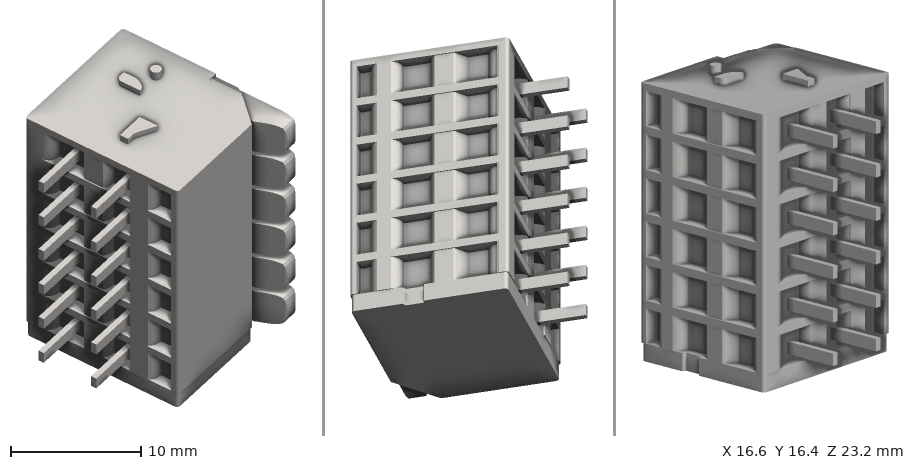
import cadquery as cq
import math


body_width = 14.575
body_depth = 12.75
body_top = 22.46
base_height = 1.47
base_inset = 0.1
corner_radius = 0.3
corner_cut_x = 3.52
corner_cut_y = 3.12

row_count = 6
row_pitch = 3.507
pocket_height = 2.84
first_row_bottom = base_height

recess = base_inset
wall_depth = 1.03
ledge_width = 0.17
narrow_ledge_width = 0.09
ledge_drop = 0.05
steep_ledge_drop = 0.07
mouth = 0.5

front_first_start = 1.5
front_pillar_start = 5.56
front_pillar_end = 7.35
front_second_end = 10.0
front_third_start = 11.7
front_third_end = 13.92
pillar_wall_run = 0.38
frame_wall_run = 0.43

side_first_start = 0.58
side_first_end = 2.2
side_second_start = 3.33
side_pillar_start = 6.8
side_pillar_end = 8.32
side_third_end = 11.97
side_wall_run = 0.7
ridge_wall_run = 0.51
slope_shoulder = 8.56
slope_shoulder_depth = 0.33
slope_shoulder_bulge = 0.02
slope_foot = 9.2
step_edge = 11.79
step_foot = 10.84
step_lip_depth = 0.065
step_depth = 0.45

pins_per_row = 2
pin_width = 0.5
pin_height = 1.0
pin_length = 3.6
pin_embedding = 0.5
pin_root = wall_depth + pin_embedding
pin_pitch = 5.0
first_pin_x = 4.17
first_pin_z = 2.55

lever_reach = 16.58
lever_height = 3.1
lever_overhang = 0.17
lever_bottom = base_height - lever_overhang
lever_root_length = 1.0
lever_root_x = body_width - corner_cut_x - lever_root_length
lever_thickness = 2.3
lever_heel_x = 14.15
lever_tip_thickness = 1.35
lever_tip_chamfer = 0.15
lever_shoulder_x = 15.15
lever_corner_x = 16.29
lever_shoulder_drop = 0.24
lever_nose_drop = 0.5
lever_nose_x = 16.44

notch_start_x = 8.9
notch_profile = [(0, 0.35), (0.23, 0.28), (0.42, 0.23), (0.64, 0.07), (0.95, 0.05)]

post_diameter = 0.9
post_height = 0.79
post_x = 5.38
post_y = 9.75
tongue_height = 0.58
hook_left = 3.47
hook_right = 5.7
hook_bottom = 7.2
hook_top = 8.18
hook_tip_height = 0.3
hook_arc_start = 4.55
hook_corner = 0.45
hook_bulge_x = 0.05
hook_bulge_y = 0.12
wedge_left = 7.48
wedge_right = 9.22
wedge_neck = 8.25
wedge_top = 4.73
wedge_bottom = 2.15
wedge_neck_y = 2.95

groove_start = 4.25
groove_end = 5.97
groove_depth = 0.3
groove_flare = 0.15


def front_face(u, depth):
    """u runs along +X from the -X corner, depth runs inward from the -Y face."""
    return (u, depth)


def side_face(u, depth):
    """u runs along -Y from the +Y corner, depth runs inward from the -X face."""
    return (depth, body_depth - u)


def convex_arc_middle(edge, foot):
    """Middle of the arc from edge to foot that bulges into the pocket and ends square to the face."""
    run = foot[0] - edge[0]
    drop = foot[1] - edge[1]
    radius = (run ** 2 + drop ** 2) / (2 * abs(run))
    center_u = foot[0] - math.copysign(radius, run)
    half_angle = math.asin(drop / radius) / 2
    return (
        center_u + math.copysign(radius * math.cos(half_angle), run),
        foot[1] - radius * math.sin(half_angle),
    )



def ledge(foot, inward, drop, width=ledge_width):
    """Short gentle slope between the foot of a wall and the pocket floor."""
    return (foot, None, (foot[0] + inward * width, foot[1] + drop))


def rounded_wall(edge_u, foot_u, edge_depth=0.0, foot_ledge_width=ledge_width):
    edge = (edge_u, edge_depth)
    foot = (foot_u, wall_depth)
    inward = math.copysign(1, foot_u - edge_u)
    return [
        (edge, convex_arc_middle(edge, foot), foot),
        ledge(foot, inward, ledge_drop, foot_ledge_width),
    ]


def straight_wall(edge_u, inward):
    foot = (edge_u, wall_depth)
    return [
        ((edge_u, 0), None, foot),
        ledge(foot, inward, steep_ledge_drop),
    ]


def sloped_wall(edge_u, shoulder_u, foot_u):
    """Wall with a small rounded shoulder above a flat slope."""
    edge = (edge_u, recess)
    shoulder = (shoulder_u, slope_shoulder_depth)
    middle = (
        (edge_u + shoulder_u) / 2 + slope_shoulder_bulge,
        (recess + slope_shoulder_depth) / 2 - slope_shoulder_bulge,
    )
    return [
        (edge, middle, shoulder),
        (shoulder, None, (foot_u, wall_depth + ledge_drop)),
    ]


def stepped_wall(edge_u, step_u, foot_u):
    """Bevelled lip, upright step, then an arc that starts level and steepens down to the floor."""
    lip = (step_u, step_lip_depth)
    step = (step_u, step_depth)
    foot = (foot_u, wall_depth + ledge_drop)
    run = foot[0] - step[0]
    drop = foot[1] - step[1]
    radius = (run ** 2 + drop ** 2) / (2 * drop)
    half_angle = math.asin(abs(run) / radius) / 2
    middle = (
        step[0] + math.copysign(radius * math.sin(half_angle), run),
        step[1] + radius * (1 - math.cos(half_angle)),
    )
    return [
        ((edge_u, 0), None, lip),
        (lip, None, step),
        (step, middle, foot),
    ]


def pocket(place, start_wall, end_wall):
    """Cutter for one pocket, from z = 0 up."""
    climb = [(end, middle, start) for start, middle, end in reversed(end_wall)]
    first = start_wall[0][0]
    last = climb[-1][2]
    outline = cq.Workplane("XY").moveTo(*place(first[0], -mouth)).lineTo(*place(*first))
    for start, middle, end in start_wall + [(start_wall[-1][2], None, climb[0][0])] + climb:
        if middle is None:
            outline = outline.lineTo(*place(*end))
        else:
            outline = outline.threePointArc(place(*middle), place(*end))
    return outline.lineTo(*place(last[0], -mouth)).close().extrude(pocket_height)


def pillar_recess(place, start_u, end_u):
    corners = [(start_u, -mouth), (start_u, recess), (end_u, recess), (end_u, -mouth)]
    return cq.Workplane("XY").polyline([place(*c) for c in corners]).close().extrude(pocket_height)


def front_row():
    """Cutters for one row of the -Y face."""
    return [
        pocket(
            front_face,
            rounded_wall(front_first_start, front_first_start + wall_depth),
            rounded_wall(front_pillar_start, front_pillar_start - pillar_wall_run, recess),
        ),
        pocket(
            front_face,
            rounded_wall(front_pillar_end, front_pillar_end + pillar_wall_run, recess),
            rounded_wall(front_second_end, front_second_end - frame_wall_run, recess, narrow_ledge_width),
        ),
        pocket(
            front_face,
            rounded_wall(front_third_start, front_third_start + frame_wall_run, recess, narrow_ledge_width),
            straight_wall(front_third_end, -1),
        ),
        pillar_recess(front_face, front_pillar_start, front_pillar_end),
    ]


def side_row():
    """Cutters for one row of the -X face."""
    return [
        pocket(
            side_face,
            straight_wall(side_first_start, 1),
            rounded_wall(side_first_end, side_first_end - side_wall_run),
        ),
        pocket(
            side_face,
            rounded_wall(side_second_start, side_second_start + side_wall_run),
            rounded_wall(side_pillar_start, side_pillar_start - ridge_wall_run, recess, narrow_ledge_width),
        ),
        pocket(
            side_face,
            sloped_wall(side_pillar_end, slope_shoulder, slope_foot),
            stepped_wall(side_third_end, step_edge, step_foot),
        ),
        pillar_recess(side_face, side_pillar_start, side_pillar_end),
    ]


def block(inset, bottom, top):
    """Housing prism with the +X +Y corner cut off and the other corners rounded."""
    right = body_width - inset
    rear = body_depth - inset
    return (
        cq.Workplane("XY", origin=(0, 0, bottom))
        .moveTo(inset, inset)
        .lineTo(right, inset)
        .lineTo(right, body_depth - corner_cut_y)
        .lineTo(body_width - corner_cut_x, rear)
        .lineTo(inset, rear)
        .close()
        .extrude(top - bottom)
        .edges("|Z and (<X or <Y)")
        .fillet(corner_radius)
    )


def base_groove():
    wall_ends = [
        (groove_start, 0),
        (groove_start + groove_flare, groove_depth),
        (groove_end - groove_flare, groove_depth),
        (groove_end, 0),
    ]
    corners = [side_face(u, base_inset + depth) for u, depth in wall_ends]
    mouth_corners = [side_face(groove_end, -mouth), side_face(groove_start, -mouth)]
    return cq.Workplane("XY").polyline(corners + mouth_corners).close().extrude(base_height)


def latch_notch():
    points = [(body_depth - back, body_top - drop) for back, drop in notch_profile]
    inner_y = points[-1][0]
    rear_y = body_depth + mouth
    outline = [(rear_y, points[0][1])] + points + [(inner_y, body_top + mouth), (rear_y, body_top + mouth)]
    return (
        cq.Workplane("YZ", origin=(notch_start_x, 0, 0))
        .polyline(outline)
        .close()
        .extrude(body_width - notch_start_x)
    )


def lever():
    """One lever at z = 0: its plan outline intersected with its rounded side outline."""
    front_y = body_depth - lever_thickness
    tip_y = body_depth - lever_tip_thickness
    plan = (
        cq.Workplane("XY")
        .polyline([
            (lever_root_x, body_depth),
            (lever_reach - lever_tip_chamfer, body_depth),
            (lever_reach, body_depth - lever_tip_chamfer),
            (lever_reach, tip_y + lever_tip_chamfer),
            (lever_reach - lever_tip_chamfer, tip_y),
            (lever_heel_x, front_y),
            (body_width - corner_cut_x, front_y),
            (lever_root_x, body_depth - lever_root_length),
        ])
        .close()
        .extrude(lever_height)
    )
    middle_z = lever_height / 2
    shoulder_mid_x = (lever_shoulder_x + lever_corner_x) / 2
    shoulder_mid_drop = lever_shoulder_drop / 4
    profile = (
        cq.Workplane("XZ")
        .moveTo(lever_root_x, 0)
        .lineTo(lever_shoulder_x, 0)
        .threePointArc((shoulder_mid_x, shoulder_mid_drop), (lever_corner_x, lever_shoulder_drop))
        .lineTo(lever_nose_x, lever_nose_drop)
        .threePointArc((lever_reach, middle_z), (lever_nose_x, lever_height - lever_nose_drop))
        .lineTo(lever_corner_x, lever_height - lever_shoulder_drop)
        .threePointArc(
            (shoulder_mid_x, lever_height - shoulder_mid_drop),
            (lever_shoulder_x, lever_height),
        )
        .lineTo(lever_root_x, lever_height)
        .close()
        .extrude(-body_depth)
    )
    return plan.intersect(profile)


def pin(x):
    return (
        cq.Workplane("XZ", origin=(x, -pin_length, first_pin_z))
        .rect(pin_width, pin_height)
        .extrude(-(pin_length + pin_root))
    )


def coupling_post():
    return cq.Workplane("XY", origin=(post_x, post_y, body_top)).circle(post_diameter / 2).extrude(post_height)


def coupling_hook():
    tip_y = hook_bottom + hook_tip_height
    corner_edge_middle = (hook_left, hook_bottom, body_top + tongue_height / 2)
    bulge = ((hook_arc_start + hook_right) / 2 + hook_bulge_x, (hook_top + tip_y) / 2 + hook_bulge_y)
    return (
        cq.Workplane("XY", origin=(0, 0, body_top))
        .moveTo(hook_left, hook_bottom)
        .lineTo(hook_right, hook_bottom)
        .lineTo(hook_right, tip_y)
        .threePointArc(bulge, (hook_arc_start, hook_top))
        .lineTo(hook_left, hook_top)
        .close()
        .extrude(tongue_height)
        .edges(cq.selectors.NearestToPointSelector(corner_edge_middle))
        .fillet(hook_corner)
    )


def coupling_wedge():
    return (
        cq.Workplane("XY", origin=(0, 0, body_top))
        .polyline([
            (wedge_left, wedge_bottom),
            (wedge_neck, wedge_bottom),
            (wedge_neck, wedge_neck_y),
            (wedge_right, wedge_top),
            (wedge_left, wedge_top),
        ])
        .close()
        .extrude(tongue_height)
    )


base = block(base_inset, 0, base_height).cut(base_groove())
housing = block(0, base_height, body_top).union(base).cut(latch_notch())

for row in range(row_count):
    row_rise = row * row_pitch
    for cutter in front_row() + side_row():
        housing = housing.cut(cutter.translate((0, 0, first_row_bottom + row_rise)))
    housing = housing.union(lever().translate((0, 0, lever_bottom + row_rise)))
    for pin_index in range(pins_per_row):
        housing = housing.union(pin(first_pin_x + pin_index * pin_pitch).translate((0, 0, row_rise)))

result = housing.union(coupling_post()).union(coupling_hook()).union(coupling_wedge())